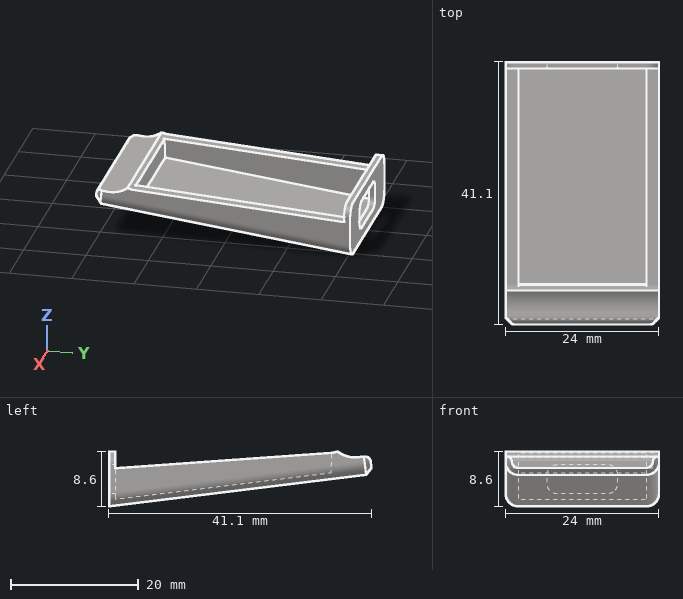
import cadquery as cq
import math

width = 24.0
length = 41.05
height = 8.6
base_tilt = 7.0
wall = 2.0
plate = 1.0
floor = 1.0
corner_radius = 2.0
nose_chamfer = 1.0
nose_radius = 1.0
nose_thickness = 2.9
rim_back_height = 6.0
ridge_y = 5.35
lip_back_y = 6.08
scoop_front_y = 2.1
lip_drop = 0.2
pocket_front_y = 6.25
pocket_wall_lean = 0.12
slot_width = 11.0
slot_height = 4.5
slot_bottom = 2.0
slot_radius = 1.5

tilt = math.radians(base_tilt)
slope = math.tan(tilt)
plate_front_y = length - plate
underside_direction = cq.Vector(0, -math.cos(tilt), math.sin(tilt))


def base_point(along, up):
    """Side-plane (Y, Z) point: along the underside from the back, and square to it."""
    y = length - along * math.cos(tilt) + up * math.sin(tilt)
    z = along * math.sin(tilt) + up * math.cos(tilt)
    return y, z


def height_above_base(y, thickness):
    """Z at y of a plane parallel to the underside."""
    return (length - y) * slope + thickness / math.cos(tilt)


base_length = (length + nose_chamfer * math.sin(tilt)) / math.cos(tilt)


def side_body():
    """Wedge with rim, scooped lip and square nose, extruded across the width."""
    ridge = (ridge_y, height)
    lip_back = (lip_back_y, height - lip_drop)
    scoop_front = (scoop_front_y, height_above_base(scoop_front_y, nose_thickness))
    arc_start_direction = (math.cos(tilt), -math.sin(tilt))
    profile = (
        cq.Workplane("YZ")
        .moveTo(*base_point(0, 0))
        .lineTo(*base_point(base_length, 0))
        .lineTo(*base_point(base_length, nose_thickness))
        .lineTo(*scoop_front)
    )
    arc = cq.Edge.makeTangentArc(
        cq.Vector(0, *scoop_front), cq.Vector(0, *arc_start_direction), cq.Vector(0, *ridge)
    )
    scoop_middle = arc.positionAt(0.5)
    return (
        profile.threePointArc((scoop_middle.y, scoop_middle.z), ridge)
        .lineTo(*lip_back)
        .lineTo(plate_front_y, rim_back_height)
        .lineTo(plate_front_y, height)
        .lineTo(length, height)
        .close()
        .extrude(width / 2, both=True)
    )


def round_body(body):
    """Round the upper corners of the back plate and the top of the nose."""
    plate_corners = body.edges("|Y").edges(cq.selectors.BoxSelector(
        (-width, plate_front_y, height - plate), (width, length, height + plate)
    ))
    body = plate_corners.fillet(corner_radius)
    end_face = cq.selectors.DirectionMinMaxSelector(underside_direction, True)
    return body.faces(end_face).edges("|X").edges(">Z").fillet(nose_radius)


def nose_envelope():
    """Rounded-bottom block whose front outline is chamfered below and at both sides."""
    plane = cq.Plane(
        origin=(0, *base_point(base_length, 0)),
        xDir=(1, 0, 0),
        normal=underside_direction,
    )
    tall = 2 * height
    block = (
        cq.Workplane(plane)
        .center(0, tall / 2)
        .rect(width, tall)
        .extrude(-2 * length)
    )
    along = cq.selectors.ParallelDirSelector(plane.zDir)
    low = cq.selectors.DirectionMinMaxSelector(plane.yDir, False)
    front = cq.selectors.DirectionMinMaxSelector(plane.zDir, True)
    block = block.faces(low).edges(along).fillet(corner_radius)
    return block.faces(front).chamfer(nose_chamfer)


def pocket():
    """Tray cavity with a floor parallel to the underside; the lip top runs on to its front edge."""
    foot_y = pocket_front_y + pocket_wall_lean
    lip_slope = lip_drop / (lip_back_y - ridge_y)
    pocket_edge_z = height - (pocket_front_y - ridge_y) * lip_slope
    return (
        cq.Workplane("YZ")
        .moveTo(foot_y, height_above_base(foot_y, floor))
        .lineTo(plate_front_y, height_above_base(plate_front_y, floor))
        .lineTo(plate_front_y, height)
        .lineTo(lip_back_y, height)
        .lineTo(lip_back_y, height - lip_drop)
        .lineTo(pocket_front_y, pocket_edge_z)
        .close()
        .extrude(width / 2 - wall, both=True)
    )


def handle_slot():
    """Rounded opening through the back plate."""
    return (
        cq.Workplane("XY")
        .box(slot_width, 2 * plate, slot_height)
        .edges("|Y")
        .fillet(slot_radius)
        .translate((0, length - plate / 2, slot_bottom + slot_height / 2))
    )


body = round_body(side_body()).intersect(nose_envelope())
result = body.cut(pocket()).cut(handle_slot())